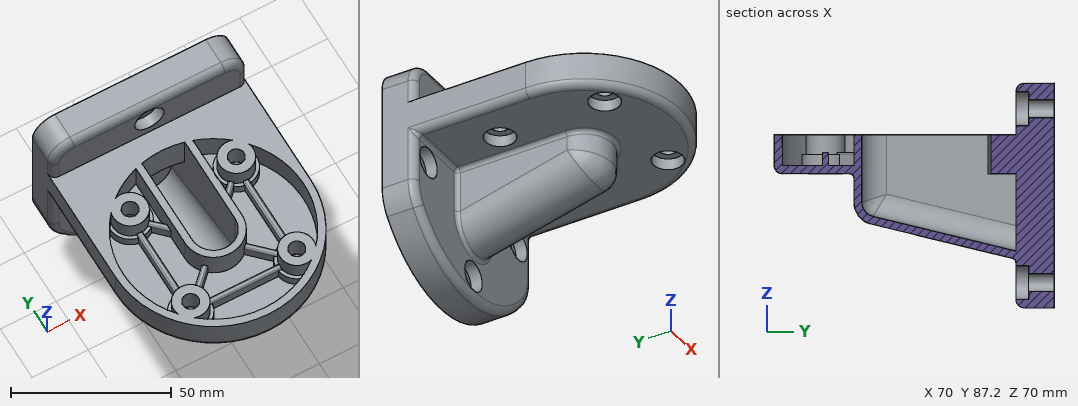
import cadquery as cq
import math

width = 70.0
plate_thickness = 12.0
top_corner_radius = 8.0
lower_corner_radius = 15.0
bottom_arc_radius = 40.0
outer_fillet = 2.6

length = 87.2
shelf_top_z = 19.0
shelf_thickness = 12.2
wall = 2.6

brace_radius = 10.2
brace_wall = 2.5
brace_slope = math.radians(13.6)
brace_axis_end_z = 0.4
brace_tip_fillet = 7.0
inside_corner_fillet = 1.4

hole_diameter = 5.5
counterbore_diameter = 10.5
counterbore_depth = 4.0
plate_hole_circle_radius = 27.0
boss_offset = 19.0

boss_diameter = 12.0
boss_foot_wall = 2.0
rib_width = 2.0
rib_height = 4.0
rib_edge_fillet = 0.5

half_width = width / 2
plate_front_y = -plate_thickness
end_y = half_width - length
shelf_bottom_z = shelf_top_z - shelf_thickness
pocket_radius = half_width - wall
pocket_floor_z = shelf_bottom_z + wall
channel_radius = brace_radius - brace_wall
channel_tip_fillet = brace_tip_fillet - brace_wall
boss_centers = [
    (-boss_offset, end_y + boss_offset),
    (-boss_offset, end_y - boss_offset),
    (boss_offset, end_y - boss_offset),
    (boss_offset, end_y + boss_offset),
]
reach = 2 * length
tolerance = 0.1


def disc(radius, bottom_z, top_z, x=0.0, y=end_y):
    """Upright cylinder, by default on the axis of the shelf's round end."""
    return cq.Workplane("XY", origin=(x, y, bottom_z)).circle(radius).extrude(top_z - bottom_z)


def round_ended_block(radius, bottom_z, top_z, back_y=0.0):
    """Upright block from back_y to the shelf's end axis, closed by a half-round front."""
    outline = (
        cq.Workplane("XY", origin=(0, 0, bottom_z))
        .moveTo(-radius, back_y)
        .lineTo(-radius, end_y)
        .threePointArc((0, end_y - radius), (radius, end_y))
        .lineTo(radius, back_y)
        .close()
    )
    return outline.extrude(top_z - bottom_z)


def mounting_plate():
    """Plate with rounded corners and an arched bottom edge, its front rim filleted."""
    arc_center_z = bottom_arc_radius - half_width
    corner_x = half_width - lower_corner_radius
    center_distance = bottom_arc_radius - lower_corner_radius
    corner_drop = math.sqrt(center_distance**2 - corner_x**2)
    corner_z = arc_center_z - corner_drop
    join_x = corner_x * bottom_arc_radius / center_distance
    join_z = arc_center_z - corner_drop * bottom_arc_radius / center_distance
    half_turn = math.atan2(corner_drop, corner_x) / 2
    corner_mid_x = corner_x + lower_corner_radius * math.cos(half_turn)
    corner_mid_z = corner_z - lower_corner_radius * math.sin(half_turn)

    top_corner = half_width - top_corner_radius
    top_mid = top_corner + top_corner_radius * math.sqrt(0.5)
    plate = (
        cq.Workplane("XZ")
        .moveTo(-top_corner, half_width)
        .lineTo(top_corner, half_width)
        .threePointArc((top_mid, top_mid), (half_width, top_corner))
        .lineTo(half_width, corner_z)
        .threePointArc((corner_mid_x, corner_mid_z), (join_x, join_z))
        .threePointArc((0, -half_width), (-join_x, join_z))
        .threePointArc((-corner_mid_x, corner_mid_z), (-half_width, corner_z))
        .lineTo(-half_width, top_corner)
        .threePointArc((-top_mid, top_mid), (-top_corner, half_width))
        .close()
        .extrude(plate_thickness)
    )
    return plate.faces("<Y").edges().fillet(outer_fillet)


def shelf():
    """Solid shelf with its lower side and front edges filleted."""
    block = round_ended_block(half_width, shelf_bottom_z, shelf_top_z)
    return block.faces("<Z").edges("not >Y").fillet(outer_fillet)


def brace(radius, tip_fillet, top_z, back_y=0.0):
    """Round-ended block whose sloping half-cylinder underside rises to a blended tip."""
    slope_direction = (0, -math.cos(brace_slope), math.sin(brace_slope))
    sloping_bar = (
        cq.Workplane(cq.Plane((0, end_y, brace_axis_end_z), (1, 0, 0), slope_direction))
        .moveTo(-radius, 0)
        .threePointArc((0, -radius), (radius, 0))
        .lineTo(radius, reach)
        .lineTo(-radius, reach)
        .close()
        .extrude(reach, both=True)
    )
    block = round_ended_block(radius, -width, top_z, back_y).intersect(sloping_bar)
    tip_corner = (0, end_y - radius, brace_axis_end_z - radius)
    tip_edge = block.edges(cq.selectors.NearestToPointSelector(tip_corner)).val()
    return block.newObject([tip_edge]).fillet(tip_fillet)


def fillet_inside_corners(body):
    """Fillet where brace, plate front and shelf underside meet below the shelf."""
    side_x = pocket_radius - outer_fillet
    root_axis_z = brace_axis_end_z - math.tan(brace_slope) * (plate_front_y - end_y)
    root_bottom_z = root_axis_z - brace_radius / math.cos(brace_slope)
    on_plate = cq.selectors.BoxSelector(
        (-side_x, plate_front_y - tolerance, root_bottom_z),
        (side_x, plate_front_y + tolerance, shelf_bottom_z + tolerance),
    )
    on_shelf = cq.selectors.BoxSelector(
        (-brace_radius - tolerance, end_y - brace_radius, shelf_bottom_z - tolerance),
        (brace_radius + tolerance, plate_front_y, shelf_bottom_z + tolerance),
    )
    return body.edges(on_plate + on_shelf).fillet(inside_corner_fillet)


def pocket_rib(start, end):
    """Rib on the pocket floor between two (x, y) points, with rounded top edges."""
    run_x = end[0] - start[0]
    run_y = end[1] - start[1]
    middle = ((start[0] + end[0]) / 2, (start[1] + end[1]) / 2, pocket_floor_z + rib_height / 2)
    rib = cq.Workplane("XY").box(math.hypot(run_x, run_y), rib_width, rib_height)
    rib = rib.edges("|X and >Z").fillet(rib_edge_fillet)
    angle = math.degrees(math.atan2(run_y, run_x))
    return rib.rotate((0, 0, 0), (0, 0, 1), angle).translate(middle)


def pocket_features():
    """Channel wall, stepped screw bosses and ribs left standing in the pocket."""
    features = round_ended_block(brace_radius, pocket_floor_z, shelf_top_z)
    foot_radius = counterbore_diameter / 2 + boss_foot_wall
    foot_top_z = shelf_bottom_z + counterbore_depth + boss_foot_wall
    for x, y in boss_centers:
        features = features.union(disc(boss_diameter / 2, pocket_floor_z, shelf_top_z, x, y))
        features = features.union(disc(foot_radius, pocket_floor_z, foot_top_z, x, y))
        features = features.union(pocket_rib((x, y), (0, end_y)))
    for start, end in zip(boss_centers, boss_centers[1:]):
        features = features.union(pocket_rib(start, end))
    return features


def pocket():
    """Round pocket around the standing features."""
    return disc(pocket_radius, pocket_floor_z, shelf_top_z).cut(pocket_features())


def channel():
    """Slot through the shelf within the pocket circle, opening into the hollow of the brace."""
    slot = round_ended_block(channel_radius, shelf_bottom_z, shelf_top_z)
    slot = slot.intersect(disc(pocket_radius, shelf_bottom_z, shelf_top_z))
    return slot.union(brace(channel_radius, channel_tip_fillet, shelf_bottom_z, plate_front_y))


def cut_screw_holes(body):
    """Counterbored holes from the plate front and from the shelf underside."""
    plate_front = cq.Workplane("XZ", origin=(0, plate_front_y, 0))
    plate_points = plate_front.polarArray(plate_hole_circle_radius, 0, 360, 4)
    body = body.cut(plate_points.circle(hole_diameter / 2).extrude(-plate_thickness))
    body = body.cut(plate_points.circle(counterbore_diameter / 2).extrude(-counterbore_depth))
    counterbore_top_z = shelf_bottom_z + counterbore_depth
    for x, y in boss_centers:
        body = body.cut(disc(hole_diameter / 2, shelf_bottom_z, shelf_top_z, x, y))
        body = body.cut(disc(counterbore_diameter / 2, shelf_bottom_z, counterbore_top_z, x, y))
    return body


solid_brace = brace(brace_radius, brace_tip_fillet, pocket_floor_z)
bracket = mounting_plate().union(shelf()).union(solid_brace)
bracket = fillet_inside_corners(bracket)
bracket = bracket.cut(pocket()).cut(channel())
result = cut_screw_holes(bracket)